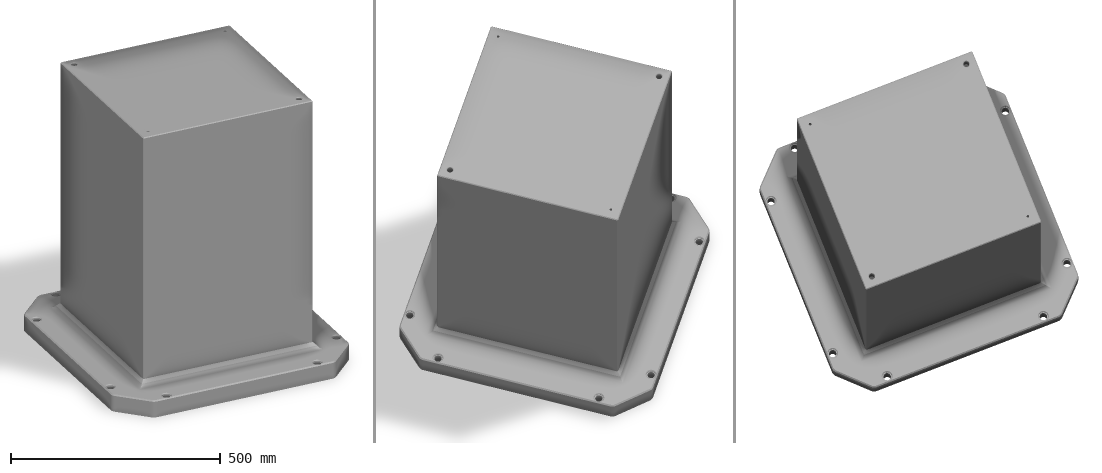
import cadquery as cq
import math

PLATE_WIDTH = 630.0
PLATE_THICKNESS = 45.0
CORNER_CUT = 75.0
CORNER_RADIUS = 17.0
PLATE_EDGE_CHAMFER = 3.0

COLUMN_WIDTH = 450.0
TOTAL_HEIGHT = 702
COLUMN_EDGE_CHAMFER = 2.0

BEVEL_SIZE = 8.0
COVE_RADIUS = 12.0
COVE_END_ANGLE = math.radians(65)

BOLT_INSET = 15.0
BOLT_SPACING = 400
BOLT_DIAMETER = 17.5
BOLT_STEP_DIAMETER = 22.0
BOLT_RIM_CHAMFER = 2.0
BOLT_STEP_DEPTH = 3.5

TAPPED_DIAMETER = 14
TAPPED_DEPTH = 30.0
TAPPED_RIM_CHAMFER = 1.5
PIN_DIAMETER = 6.0
PIN_DEPTH = 15.0
DRILL_POINT_ANGLE = math.radians(118)


def make_plate():
    return (
        cq.Workplane("XY")
        .rect(PLATE_WIDTH, PLATE_WIDTH)
        .extrude(PLATE_THICKNESS)
        .edges("|Z")
        .chamfer(CORNER_CUT)
        .edges("|Z")
        .fillet(CORNER_RADIUS)
        .faces(">Z")
        .edges()
        .chamfer(PLATE_EDGE_CHAMFER)
    )


def make_column():
    return (
        cq.Workplane("XY")
        .rect(COLUMN_WIDTH, COLUMN_WIDTH)
        .extrude(TOTAL_HEIGHT)
        .edges("|Z or >Z")
        .chamfer(COLUMN_EDGE_CHAMFER)
    )


def make_foot():
    """Cove and bevel round the bottom of the column, mitred at the corners."""
    bevel_bottom = COLUMN_WIDTH / 2 + BEVEL_SIZE
    cove_end = bevel_bottom + COVE_RADIUS * math.sin(COVE_END_ANGLE)

    def cove_point(angle):
        x = cove_end - COVE_RADIUS * math.sin(angle)
        z = PLATE_THICKNESS + COVE_RADIUS * (1 - math.cos(angle))
        return x, z

    cove_middle = cove_point(COVE_END_ANGLE / 2)
    cove_top = cove_point(COVE_END_ANGLE)
    half_profile = (
        cq.Workplane("XZ")
        .moveTo(0, PLATE_THICKNESS)
        .lineTo(cove_end, PLATE_THICKNESS)
        .threePointArc(cove_middle, cove_top)
        .lineTo(COLUMN_WIDTH / 2, cove_top[1] + BEVEL_SIZE)
        .hLineTo(0)
    )
    along_y = half_profile.mirrorY().extrude(cove_end, both=True)
    along_x = along_y.rotate((0, 0, 0), (0, 0, 1), 90)
    return along_y.intersect(along_x)


def revolve_hole(points):
    """Solid of a hole about the Z axis, from its (radius, height) outline."""
    return cq.Workplane("XZ").polyline(points).close().revolve(360, (0, 0), (0, 1))


def make_bolt_hole():
    rim_radius = BOLT_STEP_DIAMETER / 2 + BOLT_RIM_CHAMFER
    step_height = PLATE_THICKNESS - BOLT_STEP_DEPTH
    return revolve_hole([
        (0, PLATE_THICKNESS),
        (rim_radius, PLATE_THICKNESS),
        (BOLT_STEP_DIAMETER / 2, PLATE_THICKNESS - BOLT_RIM_CHAMFER),
        (BOLT_STEP_DIAMETER / 2, step_height),
        (BOLT_DIAMETER / 2, step_height),
        (BOLT_DIAMETER / 2, 0),
        (0, 0),
    ])


def make_drilled_hole(diameter, depth, rim_chamfer=0):
    """Drill-pointed hole down from the top of the column, with an optional chamfered rim."""
    radius = diameter / 2
    floor = TOTAL_HEIGHT - depth
    outline = [(0, TOTAL_HEIGHT), (radius + rim_chamfer, TOTAL_HEIGHT)]
    if rim_chamfer > 0:
        outline.append((radius, TOTAL_HEIGHT - rim_chamfer))
    outline.append((radius, floor))
    outline.append((0, floor - radius / math.tan(DRILL_POINT_ANGLE / 2)))
    return revolve_hole(outline)


result = make_plate().union(make_column()).union(make_foot())

hole_offset = BOLT_SPACING / 2
bolt_reach = PLATE_WIDTH / 2 - BOLT_INSET
bolt_hole = make_bolt_hole()
for along in (-hole_offset, hole_offset):
    for across in (-bolt_reach, bolt_reach):
        result = result.cut(bolt_hole.translate((along, across, 0)))
        result = result.cut(bolt_hole.translate((across, along, 0)))

tapped_hole = make_drilled_hole(TAPPED_DIAMETER, TAPPED_DEPTH, TAPPED_RIM_CHAMFER)
pin_hole = make_drilled_hole(PIN_DIAMETER, PIN_DEPTH)
for offset in (-hole_offset, hole_offset):
    result = result.cut(tapped_hole.translate((offset, offset, 0)))
    result = result.cut(pin_hole.translate((offset, -offset, 0)))